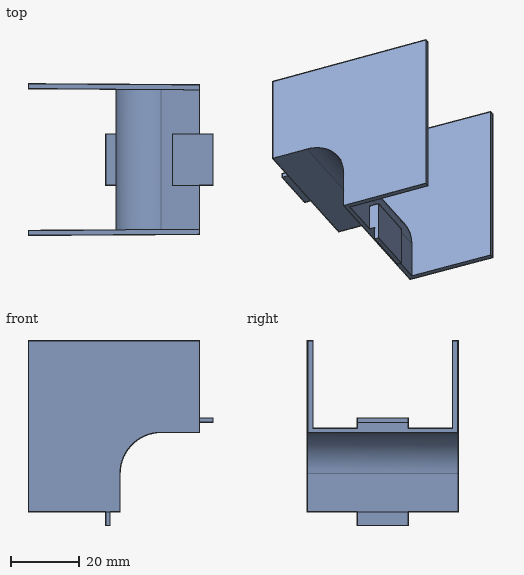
import cadquery as cq
import math

overall_length = 54.3
overall_width = 44.6
tab_overhang = 4.0
leg_width = 27.0
bend_radius = 12.0
wall_thickness = 1.3
plate_thickness = 1.5
plate_lean = 0.3
tab_width = 15.1
tab_length = 12.0
tab_thickness = 1.3
tab_depth = 22.7

plate_size = overall_length - tab_overhang
bend_center = leg_width + bend_radius
outer_half_width = overall_width / 2
inner_half_width = outer_half_width - plate_thickness


def inner_bend_edge(depth, radius):
    """Start an XZ outline along the bend, from the lower end to the right-hand end."""
    arc_middle = bend_center - radius * math.cos(math.radians(45))
    return (
        cq.Workplane("XZ")
        .moveTo(depth, -plate_size)
        .lineTo(depth, -bend_center)
        .threePointArc((arc_middle, -arc_middle), (bend_center, -depth))
        .lineTo(plate_size, -depth)
    )


def tapered_envelope(half_width):
    """Full-height block whose two sides lean inward as X increases."""
    end_half_width = half_width - plate_lean
    return (
        cq.Workplane("XY")
        .polyline([
            (0, -half_width),
            (plate_size, -end_half_width),
            (plate_size, end_half_width),
            (0, half_width),
        ])
        .close()
        .extrude(-plate_size)
    )


def side_plates():
    """Two L-shaped plates, cut from one tapered block."""
    profile = (
        inner_bend_edge(leg_width, bend_radius)
        .lineTo(plate_size, 0)
        .lineTo(0, 0)
        .lineTo(0, -plate_size)
        .close()
        .extrude(outer_half_width, both=True)
    )
    shell = tapered_envelope(outer_half_width).cut(tapered_envelope(inner_half_width))
    return profile.intersect(shell)


def inside_of_bend(depth, radius):
    """Solid that fills everything on the inner-corner side of a bend outline."""
    return (
        inner_bend_edge(depth, radius)
        .lineTo(plate_size, -plate_size)
        .close()
        .extrude(outer_half_width, both=True)
    )


def bend_wall():
    """Curved wall that joins the plates along the inside of the bend."""
    bend_fill = inside_of_bend(leg_width - wall_thickness, bend_radius + wall_thickness)
    bend_opening = inside_of_bend(leg_width, bend_radius)
    plate_middle = outer_half_width - plate_thickness / 2
    return bend_fill.cut(bend_opening).intersect(tapered_envelope(plate_middle))


def right_tab():
    """Thin tab past the right-hand end, with a thicker root that rests on the wall."""
    root_start = overall_length - tab_length
    tab_outline = [
        (root_start, -tab_depth),
        (overall_length, -tab_depth),
        (overall_length, -tab_depth - tab_thickness),
        (plate_size, -tab_depth - tab_thickness),
        (plate_size, -leg_width),
        (root_start, -leg_width),
    ]
    return cq.Workplane("XZ").polyline(tab_outline).close().extrude(tab_width / 2, both=True)


def lower_tab():
    """The right-hand tab mirrored across the diagonal of the elbow."""
    upright = right_tab().rotate((0, 0, 0), (0, 1, 0), 90)
    return upright.mirror("YZ")


result = side_plates().union(bend_wall()).union(right_tab()).union(lower_tab())